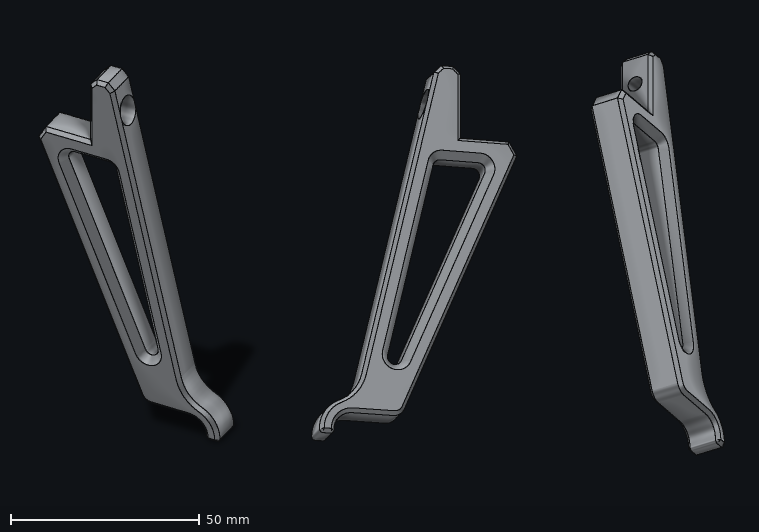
import cadquery as cq
import math

height = 103.9
thickness = 10.0
edge_chamfer = 1.0

tab_front_x = 15.6
tab_corner_chamfer = 2.0
shelf_z = 84.3
nose_bottom_z = 80.5
nose_top_x = 2.2
base_z = 6.2
front_lean = math.radians(23.2)
back_lean = math.radians(13.2)
back_top_x = 22.4
base_corner_radius = 3.4

hook_center_x = 45.4
hook_center_z = 1.1
hook_inner_radius = 5.0
hook_outer_radius = 9.0
hook_tip_radius = 1.0
hook_blend_radius = 11.0

window_top_wall = 4.0
window_side_wall = 3.8
window_chamfer = 2.1
window_corner_radius = 2.0

screw_z = 94.0
screw_diameter = 4.3
head_diameter = 8.0
head_seat_wall = 5.0
head_seat_x = tab_front_x + head_seat_wall


def front_x(z, inset=0.0):
    """X of the leaning front edge at height z, moved inward by inset."""
    return (nose_bottom_z - z) * math.tan(front_lean) + inset / math.cos(front_lean)


def back_x(z, inset=0.0):
    """X of the leaning back edge at height z, moved inward by inset."""
    return back_top_x + (height - z) * math.tan(back_lean) - inset / math.cos(back_lean)


def polar(center, radius, angle):
    """Point at a radius and angle from a center in the XZ plane."""
    return (center[0] + radius * math.cos(angle), center[1] + radius * math.sin(angle))


def blend_center():
    """Center of the concave arc that is tangent to the back edge and to the outside of the hook."""
    foot_x = back_x(hook_center_z, -hook_blend_radius)
    offset = (foot_x - hook_center_x) * math.cos(back_lean)
    along = (foot_x - hook_center_x) * math.sin(back_lean)
    reach = along + math.sqrt((hook_outer_radius + hook_blend_radius) ** 2 - offset ** 2)
    return (foot_x - reach * math.sin(back_lean), hook_center_z + reach * math.cos(back_lean))


def make_body():
    """Solid plate outline with rounded base and hook tip, chamfered around both faces."""
    hook = (hook_center_x, hook_center_z)
    blend = blend_center()
    blend_start_angle = math.pi + back_lean
    blend_end_angle = math.atan2(hook[1] - blend[1], hook[0] - blend[0]) + 2 * math.pi
    blend_mid_angle = (blend_start_angle + blend_end_angle) / 2
    hook_start_angle = blend_end_angle - math.pi

    back_corner_z = height - tab_corner_chamfer
    body = (
        cq.Workplane("XZ")
        .moveTo(0, nose_bottom_z)
        .lineTo(nose_top_x, shelf_z)
        .lineTo(tab_front_x, shelf_z)
        .lineTo(tab_front_x, height - tab_corner_chamfer)
        .lineTo(tab_front_x + tab_corner_chamfer, height)
        .lineTo(back_x(back_corner_z) - tab_corner_chamfer, height)
        .lineTo(back_x(back_corner_z), back_corner_z)
        .lineTo(*polar(blend, hook_blend_radius, blend_start_angle))
        .threePointArc(
            polar(blend, hook_blend_radius, blend_mid_angle),
            polar(blend, hook_blend_radius, blend_end_angle),
        )
        .threePointArc(
            polar(hook, hook_outer_radius, hook_start_angle / 2),
            polar(hook, hook_outer_radius, 0),
        )
        .lineTo(hook_center_x + hook_outer_radius, 0)
        .lineTo(hook_center_x + hook_inner_radius, 0)
        .lineTo(*polar(hook, hook_inner_radius, 0))
        .threePointArc(
            polar(hook, hook_inner_radius, math.pi / 4),
            polar(hook, hook_inner_radius, math.pi / 2),
        )
        .lineTo(front_x(base_z), base_z)
        .close()
        .extrude(thickness / 2, both=True)
    )
    base_corner = cq.selectors.NearestToPointSelector((front_x(base_z), 0, base_z))
    body = body.edges("|Y").edges(base_corner).fillet(base_corner_radius)
    body = body.faces("<Z").edges("|Y").fillet(hook_tip_radius)
    return body.faces("<Y or >Y").edges().chamfer(edge_chamfer)


def make_window():
    """Rounded triangular opening, at its narrow size inside the flared edges."""
    inset = window_side_wall + window_chamfer
    top_z = shelf_z - window_top_wall - window_chamfer
    top_width = back_x(top_z, inset) - front_x(top_z, inset)
    bottom_z = top_z - top_width / (math.tan(front_lean) - math.tan(back_lean))
    corners = [
        (front_x(top_z, inset), top_z),
        (back_x(top_z, inset), top_z),
        (front_x(bottom_z, inset), bottom_z),
    ]
    window = cq.Workplane("XZ").polyline(corners).close().extrude(thickness / 2, both=True)
    return window.edges("|Y").fillet(window_corner_radius)


def cut_window(body):
    """Cut the window through both faces and chamfer its rims."""
    body = body.cut(make_window())
    rims = [wire for face in body.faces("<Y or >Y").vals() for wire in face.innerWires()]
    rim_edges = [edge for wire in rims for edge in wire.Edges()]
    return body.newObject(rim_edges).chamfer(window_chamfer)


def make_screw_hole():
    """Through hole along X with a flat-bottomed head recess opening in the back edge."""
    hole = cq.Workplane("YZ", origin=(0, 0, screw_z)).circle(screw_diameter / 2).extrude(height)
    recess_plane = cq.Workplane("YZ", origin=(head_seat_x, 0, screw_z))
    recess = recess_plane.circle(head_diameter / 2).extrude(height)
    return hole.union(recess)


result = cut_window(make_body()).cut(make_screw_hole())